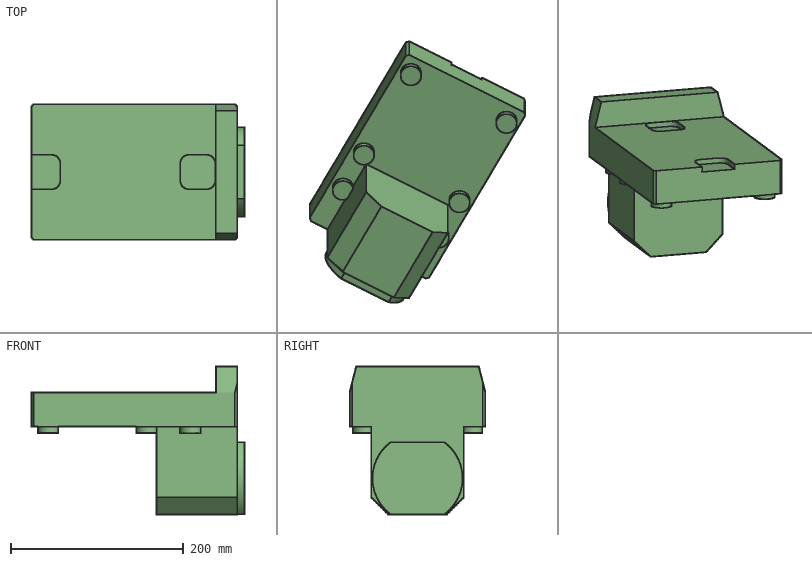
import cadquery as cq
import math

overall_length = 248.0

plate_length = 239.5
plate_width = 158.0
plate_thickness = 40.0
corner_chamfer = 3.0

wall_thickness = 25.0
wall_height = 30.0
wall_top_width = 142.5

block_length = 94.2
block_width = 108.0
block_height = 102.2
block_chamfer = 20.0

flange_thickness = overall_length - plate_length
flange_diameter = 104.7
flange_height = 83.8
flange_center_z = 42.2

foot_diameter = 24.0
foot_height = 7.5
foot_offset_y = 63.2
foot_positions_x = (19.5, 134.0, 184.8)

pocket_width = 40.0
pocket_depth = 6.0
pocket_radius = 10.0
edge_pocket_length = 33.7
wall_pocket_length = 40.7
wall_pocket_gap = 0.7

plate_bottom_z = block_height
plate_top_z = plate_bottom_z + plate_thickness
wall_start_x = plate_length - wall_thickness


def make_plate_with_wall():
    """Plate and tapered wall, with all four vertical corners chamfered together."""
    plate = cq.Workplane("XY", origin=(0, 0, plate_bottom_z)).box(
        plate_length, plate_width, plate_thickness, centered=(False, True, False)
    )
    wall = (
        cq.Workplane("YZ", origin=(wall_start_x, 0, plate_top_z))
        .moveTo(-plate_width / 2, 0)
        .lineTo(plate_width / 2, 0)
        .lineTo(wall_top_width / 2, wall_height)
        .lineTo(-wall_top_width / 2, wall_height)
        .close()
        .extrude(wall_thickness)
    )
    corner_limits = (
        cq.Workplane("XY", origin=(0, 0, plate_bottom_z))
        .box(plate_length, plate_width, plate_thickness + wall_height, centered=(False, True, False))
        .edges("|Z")
        .chamfer(corner_chamfer)
    )
    return plate.union(wall).intersect(corner_limits)


def make_block():
    """Block with its two long lower edges chamfered."""
    return (
        cq.Workplane("XY", origin=(plate_length - block_length, 0, 0))
        .box(block_length, block_width, block_height, centered=(False, True, False))
        .edges("|X and <Z")
        .chamfer(block_chamfer)
    )


def make_flange():
    """Disc cut flat above and below its centre."""
    radius = flange_diameter / 2
    half_height = flange_height / 2
    half_flat = math.sqrt(radius**2 - half_height**2)
    return (
        cq.Workplane("YZ", origin=(plate_length, 0, flange_center_z))
        .moveTo(-half_flat, -half_height)
        .lineTo(half_flat, -half_height)
        .threePointArc((radius, 0), (half_flat, half_height))
        .lineTo(-half_flat, half_height)
        .threePointArc((-radius, 0), (-half_flat, -half_height))
        .close()
        .extrude(flange_thickness)
    )


def make_feet():
    """Round feet below the plate."""
    centers = [(x, side * foot_offset_y) for x in foot_positions_x for side in (-1, 1)]
    return (
        cq.Workplane("XY", origin=(0, 0, plate_bottom_z))
        .pushPoints(centers)
        .circle(foot_diameter / 2)
        .extrude(-foot_height)
    )


def make_pocket(start_x, length, rounded_edges):
    """Cutter for a pocket in the plate top, rounded at the selected vertical edges."""
    return (
        cq.Workplane("XY", origin=(start_x, 0, plate_top_z - pocket_depth))
        .box(length, pocket_width, pocket_depth, centered=(False, True, False))
        .edges(rounded_edges)
        .fillet(pocket_radius)
    )


edge_pocket = make_pocket(0, edge_pocket_length, "|Z and >X")
wall_pocket_start_x = wall_start_x - wall_pocket_gap - wall_pocket_length
wall_pocket = make_pocket(wall_pocket_start_x, wall_pocket_length, "|Z")

result = (
    make_plate_with_wall()
    .union(make_block())
    .union(make_flange())
    .union(make_feet())
    .cut(edge_pocket)
    .cut(wall_pocket)
)